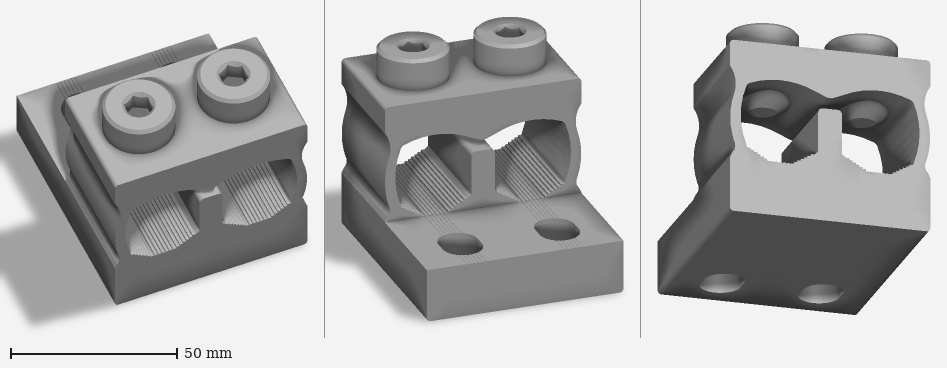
import cadquery as cq
import math

length = 75.0
half_width = 31.5
clamp_top = 55.0
clamp_start = 37.0
base_top = 17.0
edge_radius = 1.2
lane_y = 15.5

wave_bottom = (half_width, 17.25)
lower_neck_start = (30.75, 18.8)
lower_neck = (29.85, 21.0)
belly_start = (30.2, 22.4)
belly = (31.4, 30.15)
belly_end = (30.2, 37.65)
upper_neck = (29.7, 40.7)
upper_neck_end = (30.75, 45.4)
wave_top = (half_width, 46.6)

floor_z = 17.25
floor_half = 4.3
tooth_pitch = 1.2
ramp_angle = math.radians(30)
step_count = 6
tread = tooth_pitch * math.cos(ramp_angle)
riser = tooth_pitch * math.sin(ramp_angle)
ramp_half = floor_half + step_count * tread
ramp_top = floor_z + step_count * riser
inner_wall_y = 26.4
inner_wall_bottom = 21.9
inner_wall_bow = (28.1, 31.05)
ramp_blend = (26.3, 21.4)
inner_wall_top = 40.4
corner_middle = (25.9, 41.25)
roof_start = (25.0, 41.8)
roof_peak = 43.6
roof_end = (7.3, 42.2)
nose_start = (1.1, 39.7)
nose_z = 39.5

rib_half = 3.75
rib_top = 36.0
rib_foot = 21.9
rib_radius = 1.5

groove_count = 6
groove_mouth = 0.45
groove_depth = 0.4

slot_x = 14.5
slot_length = 16.5
slot_width = 12.5

screw_x = (clamp_start + length) / 2
screw_radius = 10.0
tip_z = 40.0
tip_radius = 4.3
tip_angle = math.radians(32)
head_radius = 11.0
head_top = 65.0
head_chamfer = 1.0
socket_flats = 7.8
socket_depth = 6.0
socket_mouth_radius = 5.1
socket_corner_radius = socket_flats / math.sqrt(3)


def side_plane():
    """Sketch plane with local x along +Y and local y along +Z, extruded toward +X."""
    return cq.Workplane("YZ")


def half_body():
    """The +Y half of the extruded section, without the conductor opening."""
    return (
        side_plane()
        .moveTo(0, 0)
        .lineTo(half_width - edge_radius, 0)
        .radiusArc((half_width, edge_radius), -edge_radius)
        .lineTo(*wave_bottom)
        .lineTo(*lower_neck_start)
        .threePointArc(lower_neck, belly_start)
        .threePointArc(belly, belly_end)
        .threePointArc(upper_neck, upper_neck_end)
        .lineTo(*wave_top)
        .lineTo(half_width, clamp_top - edge_radius)
        .radiusArc((half_width - edge_radius, clamp_top), -edge_radius)
        .lineTo(0, clamp_top)
        .close()
        .extrude(length)
    )


def steps_up(direction):
    """Outline of one stepped ramp from the lane floor upward; direction is the sign of Y travel."""
    points = []
    for step in range(step_count):
        y = lane_y + direction * (floor_half + step * tread)
        z = floor_z + step * riser
        points += [(y, z), (y, z + riser)]
    points.append((lane_y + direction * ramp_half, ramp_top))
    return points


def half_opening():
    """The +Y half of the opening: floor with two stepped ramps, bowed wall and arched roof."""
    floor_outline = [(rib_half, rib_foot)] + steps_up(-1)[::-1] + steps_up(1)
    return (
        side_plane()
        .moveTo(0, rib_top)
        .lineTo(rib_half - rib_radius, rib_top)
        .radiusArc((rib_half, rib_top - rib_radius), rib_radius)
        .polyline(floor_outline, includeCurrent=True)
        .threePointArc(ramp_blend, (inner_wall_y, inner_wall_bottom))
        .threePointArc(inner_wall_bow, (inner_wall_y, inner_wall_top))
        .threePointArc(corner_middle, roof_start)
        .threePointArc((lane_y, roof_peak), roof_end)
        .lineTo(*nose_start)
        .threePointArc((nose_start[0] / 2, nose_z), (0, nose_z))
        .close()
        .extrude(length)
    )


def both_sides(half):
    return half.union(half.mirror("XZ"))


def lane_grooves(y):
    """V grooves along the full length of one lane floor."""
    first = y - (groove_count - 1) * tooth_pitch / 2
    grooves = side_plane()
    for i in range(groove_count):
        centre = first + i * tooth_pitch
        grooves = grooves.polyline([
            (centre - groove_mouth / 2, floor_z),
            (centre, floor_z - groove_depth),
            (centre + groove_mouth / 2, floor_z),
        ]).close()
    return grooves.extrude(length)


def mounting_slot(y):
    return cq.Workplane("XY").center(slot_x, y).slot2D(slot_length, slot_width).extrude(base_top)


def screw(y):
    """Socket head screw whose conical tip reaches down into the opening."""
    cone_top = tip_z + (screw_radius - tip_radius) * math.tan(tip_angle)
    body = (
        cq.Workplane("XZ")
        .polyline([
            (0, tip_z),
            (tip_radius, tip_z),
            (screw_radius, cone_top),
            (screw_radius, clamp_top),
            (head_radius, clamp_top),
            (head_radius, head_top - head_chamfer),
            (head_radius - head_chamfer, head_top),
            (0, head_top),
        ])
        .close()
        .revolve(360, (0, 0, 0), (0, 1, 0))
    )
    top = cq.Workplane("XY").workplane(offset=head_top)
    socket = top.polygon(6, 2 * socket_corner_radius).extrude(-socket_depth)
    mouth_depth = socket_mouth_radius - socket_flats / 2
    mouth = top.circle(socket_mouth_radius).extrude(-mouth_depth, taper=45)
    return body.cut(socket).cut(mouth).translate((screw_x, y, 0))


body = both_sides(half_body()).cut(both_sides(half_opening()))
above_base = cq.Workplane("XY").box(
    clamp_start, 2 * half_width, clamp_top - base_top, centered=(False, True, False)
).translate((0, 0, base_top))
body = body.cut(above_base)

for lane in (-lane_y, lane_y):
    body = body.cut(lane_grooves(lane)).cut(mounting_slot(lane))
    body = body.union(screw(lane))

result = body